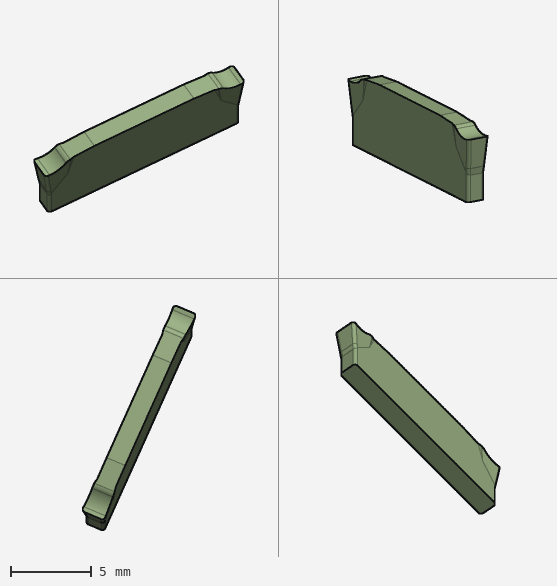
import cadquery as cq
import math

length = 14.34
height = 4.8
core_width = 1.26
tip_width = 1.53
corner_radius = 0.2

edge_height = 4.19
land_length = 0.32
land_end_height = 4.15
hook_end_inset = 1.52
hook_end_height = 4.52
crown_inset = 1.84
crown_height = 4.66
ramp_inset = 3.6

relief_break_inset = 0.25
relief_break_height = 2.24
core_inset = 0.32
relief_radius = 7.45

flank_foot = (0.49, 1.96)
flank_corner = (1.66, 3.27)
back_slope_top = (2.12, 4.69)

bevel_start = (1.85, 4.66)
bevel_end = (1.94, 4.67)
bevel_drop = 0.01

head_length = 2.3

buried_bottom = 1.15

half_length = length / 2
half_core = core_width / 2
half_tip = tip_width / 2


def at(inset, z):
    """Point in the YZ plane at an inset from the -Y cutting edge."""
    return (inset - half_length, z)


def top_curve(sketch):
    """Add the land, chip hollow and crown, starting at the cutting edge."""
    return (
        sketch.lineTo(*at(land_length, land_end_height))
        .tangentArcPoint(at(hook_end_inset, hook_end_height), relative=False)
        .tangentArcPoint(at(crown_inset, crown_height), relative=False)
        .lineTo(*at(ramp_inset, height))
    )


def make_core():
    """Half of the plain blade, with rounded upright corners at its -Y end."""
    block = (
        cq.Workplane("XY")
        .box(core_width, length - 2 * core_inset, height, centered=(True, True, False))
        .edges("|Z")
        .fillet(corner_radius)
    )
    outline = top_curve(cq.Workplane("YZ").moveTo(*at(0, 0)).lineTo(*at(0, edge_height)))
    envelope = outline.lineTo(0, height).lineTo(0, 0).close().extrude(tip_width, both=True)
    return block.intersect(envelope)


def outside_of(a, b, c):
    """Half-space on the +X side of the plane through three points."""
    normal = (b - a).cross(c - a)
    if normal.x < 0:
        normal = normal * -1
    plane = cq.Plane(origin=a, xDir=b - a, normal=normal)
    return cq.Workplane(plane).rect(2 * length, 2 * length).extrude(tip_width)


def flank_half_width(inset, z):
    """Half width of the flared flank, which is flat and meets the core at its foot line."""
    along = (flank_corner[0] - flank_foot[0], flank_corner[1] - flank_foot[1])

    def distance(y, h):
        return along[0] * (h - flank_foot[1]) - along[1] * (y - flank_foot[0])

    flare = half_tip - half_core
    return half_core + flare * distance(inset, z) / distance(0, edge_height)


def lower_relief(z):
    """Inset and height on the arc that bends tangentially inward below the flat relief face."""
    start_angle = math.atan2(relief_break_inset, edge_height - relief_break_height)
    angle = math.asin(math.sin(start_angle) + (relief_break_height - z) / relief_radius)
    inset = relief_break_inset + relief_radius * (math.cos(start_angle) - math.cos(angle))
    return (inset, z)


def make_head():
    """Flared cutting head at the -Y end."""
    buried_inset = lower_relief(buried_bottom)[0]
    outline = top_curve(cq.Workplane("YZ").moveTo(*at(0, edge_height)))
    head = (
        outline.lineTo(*at(ramp_inset, buried_bottom))
        .lineTo(*at(buried_inset, buried_bottom))
        .threePointArc(
            at(*lower_relief((buried_bottom + relief_break_height) / 2)),
            at(relief_break_inset, relief_break_height),
        )
        .close()
        .extrude(tip_width, both=True)
    )
    foot = cq.Vector(half_core, *at(*flank_foot))
    corner = cq.Vector(half_core, *at(*flank_corner))
    slope_top = cq.Vector(half_core, *at(*back_slope_top))
    tip = cq.Vector(half_tip, *at(0, edge_height))
    bevel_half_width = flank_half_width(*bevel_start)
    bevel_front = cq.Vector(bevel_half_width, *at(*bevel_start))
    bevel_back = cq.Vector(bevel_half_width - bevel_drop, *at(*bevel_end))
    flank = outside_of(foot, corner, tip)
    bevel = outside_of(corner, bevel_front, bevel_back)
    back_slope = outside_of(corner, slope_top, bevel_back)
    for cutter in (flank, bevel, back_slope):
        head = head.cut(cutter).cut(cutter.mirror("YZ"))
    keep = cq.Workplane("XY").box(2 * tip_width, head_length, height, centered=(True, False, False))
    head = head.intersect(keep.translate((0, -half_length, 0)))
    front = cq.selectors.BoxSelector(
        (-tip_width, -half_length, buried_bottom),
        (tip_width, buried_inset - half_length, land_end_height),
    )
    side_edges = head.edges(front).edges("not |X")
    return side_edges.fillet(corner_radius)


half = make_core().union(make_head())
result = half.union(half.mirror("XZ")).clean()